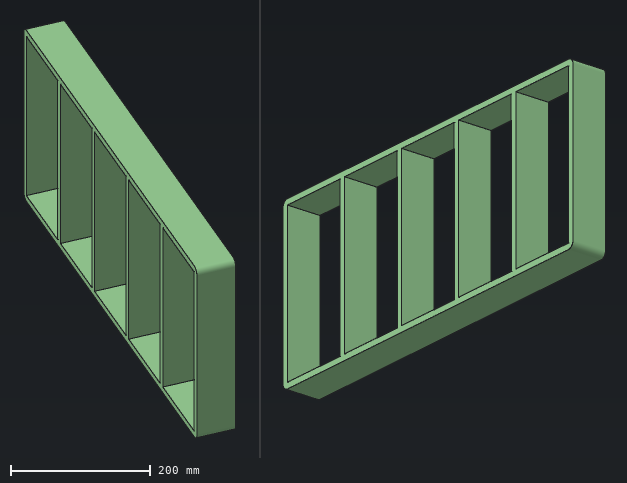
import cadquery as cq

length = 662.5
depth = 60.0
height = 298.0

wall = 10.5
corner_radius = wall
opening_count = 5
opening_length = (length - (opening_count + 1) * wall) / opening_count
opening_height = height - 2 * wall
opening_pitch = opening_length + wall

frame = cq.Workplane("XY").box(length, depth, height).edges("|Y").fillet(corner_radius)

openings = (
    cq.Workplane("XZ")
    .rarray(opening_pitch, 6.5, opening_count, 1)
    .rect(opening_length, opening_height)
    .extrude(depth, both=True)
)

result = frame.cut(openings)